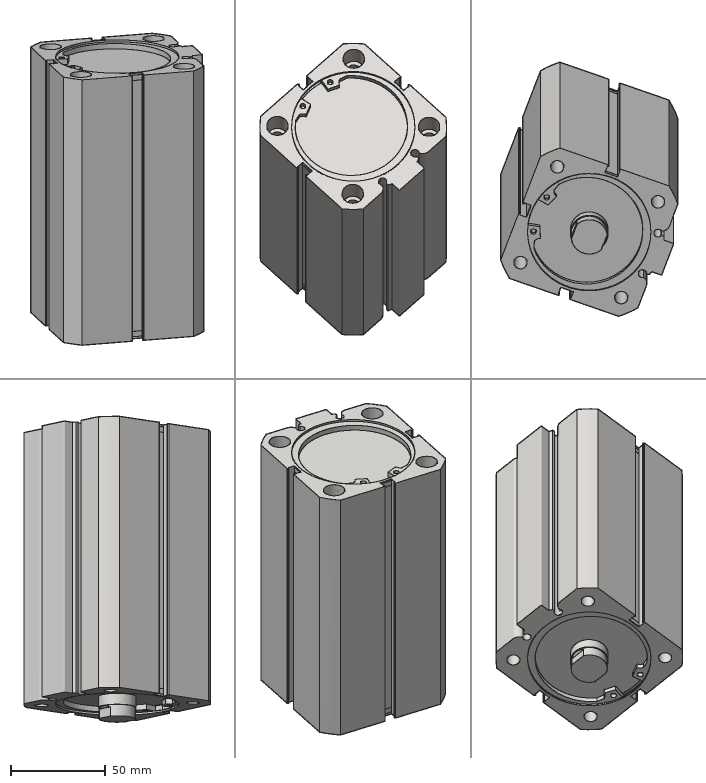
import cadquery as cq
import math


total_length = 154.0
rod_reach = 8.0
housing_length = total_length - rod_reach
housing_width = 77.5
half_width = housing_width / 2
corner_radius = 49.5
total_depth = 83.0
rail_half_width = 9.4
rail_top = total_depth - half_width
rail_fillet = 0.5

bore_radius = 32.6
ring_inset = 1.1
ring_thickness = 3.0
groove_radius = 33.9

hole_pitch = 56.8
hole_diameter = 7.0
counterbore_diameter = 11.2
counterbore_depth = 13.9

groove_wall = 0.23
slot_floor = groove_radius + groove_wall
slot_width = 7.1
slot_mouth_width = 5.7
slot_lip = 1.0
mouth_chamfer = 0.5

sensor_x = 12.0
sensor_y = 34.3
sensor_radius = 2.2
catch_x = 11.4
catch_top = 37.9
catch_bottom = 36.5
catch_root_x = 10.2
catch_root_y = 35.3
mouth_radius = 4.3
mouth_end_x = 17.9

ring_inner_radius = 29.7
ring_inner_shift = 1.46
ear_outer_x = 15.1
ear_outer_y = -25.4
ear_waist_x = 13.5
ear_waist_y = -24.6
ear_peak_x = 12.5
ear_peak_y = -23.0
ear_tip_x = 6.5
ear_tip_y = -25.5
ear_join_x = 19.1
gap_half_width = 9.0
ear_hole_x = 10.2
ear_hole_y = -27.7
ear_hole_diameter = 3.0

cover_thickness = 15.4
cover_inset = ring_inset + ring_thickness
rod_radius = 10.0
neck_radius = 9.5
neck_start = 1.8
flat_start = 3.1
flat_distance = 8.5


def prism(outline, height):
    """Extrude a closed outline upwards from its own plane."""
    return outline.close().extrude(height)


def make_housing_blank():
    square = cq.Workplane("XY").rect(housing_width, housing_width).extrude(housing_length)
    turned = cq.Workplane("XY").circle(corner_radius).extrude(housing_length)
    rail = (
        cq.Workplane("XY")
        .center(0, rail_top / 2)
        .rect(2 * rail_half_width, rail_top)
        .extrude(housing_length)
        .edges("|Z and >Y")
        .fillet(rail_fillet)
    )
    return square.intersect(turned).union(rail)


def make_side_slot(angle):
    """Cutter for the slot in the -Y side, turned about the bore axis."""
    inner_top = half_width - slot_lip
    inner_depth = inner_top - slot_floor
    mouth_half = slot_mouth_width / 2
    inner = (
        cq.Workplane("XY")
        .center(0, -slot_floor - inner_depth / 2)
        .rect(slot_width, inner_depth)
        .extrude(housing_length)
    )
    mouth = prism(
        cq.Workplane("XY")
        .moveTo(-mouth_half, -slot_floor)
        .lineTo(mouth_half, -slot_floor)
        .lineTo(mouth_half, mouth_chamfer - half_width)
        .lineTo(mouth_half + mouth_chamfer, -half_width)
        .lineTo(-mouth_half - mouth_chamfer, -half_width)
        .lineTo(-mouth_half, mouth_chamfer - half_width),
        housing_length,
    )
    return inner.union(mouth).rotate((0, 0, 0), (0, 0, 1), angle)


def make_sensor_slot():
    """Cutter for the sensor slot on the +X side of the rail."""
    arc_side = mouth_radius * math.sqrt(0.5)
    arc_centre_y = half_width - mouth_radius
    mouth = prism(
        cq.Workplane("XY")
        .moveTo(rail_half_width, half_width)
        .lineTo(catch_x, catch_top)
        .lineTo(catch_x, catch_bottom)
        .lineTo(catch_root_x, catch_root_y)
        .lineTo(sensor_x, sensor_y)
        .lineTo(mouth_end_x - mouth_radius, arc_centre_y)
        .threePointArc((mouth_end_x - arc_side, arc_centre_y + arc_side), (mouth_end_x, half_width)),
        housing_length,
    )
    pocket = cq.Workplane("XY").center(sensor_x, sensor_y).circle(sensor_radius).extrude(housing_length)
    return mouth.union(pocket)


def make_housing():
    housing = make_housing_blank()
    for angle in (-90, 0, 90):
        housing = housing.cut(make_side_slot(angle))
    sensor_slot = make_sensor_slot()
    housing = housing.cut(sensor_slot).cut(sensor_slot.mirror("YZ"))

    housing = housing.cut(cq.Workplane("XY").circle(bore_radius).extrude(housing_length))
    for groove_bottom in (ring_inset, housing_length - ring_inset - ring_thickness):
        groove = (
            cq.Workplane("XY")
            .workplane(offset=groove_bottom)
            .circle(groove_radius)
            .extrude(ring_thickness)
        )
        housing = housing.cut(groove)

    return (
        housing.faces(">Z")
        .workplane(origin=(0, 0, housing_length))
        .rect(hole_pitch, hole_pitch, forConstruction=True)
        .vertices()
        .cboreHole(hole_diameter, counterbore_diameter, counterbore_depth)
    )


def make_ring(bottom):
    """Retaining ring with two drilled ears, one on each side of its gap."""
    join_y = -ring_inner_shift - math.sqrt(ring_inner_radius**2 - ear_join_x**2)
    opening = prism(
        cq.Workplane("XY")
        .moveTo(gap_half_width, -half_width)
        .lineTo(ear_tip_x, ear_tip_y)
        .lineTo(ear_peak_x, ear_peak_y)
        .threePointArc((ear_waist_x, ear_waist_y), (ear_outer_x, ear_outer_y))
        .lineTo(ear_join_x, join_y)
        .threePointArc((0, ring_inner_radius - ring_inner_shift), (-ear_join_x, join_y))
        .lineTo(-ear_outer_x, ear_outer_y)
        .threePointArc((-ear_waist_x, ear_waist_y), (-ear_peak_x, ear_peak_y))
        .lineTo(-ear_tip_x, ear_tip_y)
        .lineTo(-gap_half_width, -half_width),
        ring_thickness,
    )
    ear_holes = (
        cq.Workplane("XY")
        .pushPoints([(-ear_hole_x, ear_hole_y), (ear_hole_x, ear_hole_y)])
        .circle(ear_hole_diameter / 2)
        .extrude(ring_thickness)
    )
    ring = cq.Workplane("XY").circle(groove_radius).extrude(ring_thickness)
    return ring.cut(opening).cut(ear_holes).translate((0, 0, bottom))


def make_rear_cover():
    bottom = housing_length - cover_inset - cover_thickness
    return cq.Workplane("XY").workplane(offset=bottom).circle(bore_radius).extrude(cover_thickness)


def make_front_cover():
    return (
        cq.Workplane("XY")
        .workplane(offset=cover_inset)
        .circle(bore_radius)
        .circle(rod_radius)
        .extrude(cover_thickness)
    )


def make_rod():
    """Rod from the rear cover down, with a thinner neck and two wrench flats at its end."""
    rod_top = housing_length - cover_inset - cover_thickness
    shank_length = rod_top + neck_start
    neck_length = rod_reach - neck_start
    shank = cq.Workplane("XY").workplane(offset=-neck_start).circle(rod_radius).extrude(shank_length)
    neck = cq.Workplane("XY").workplane(offset=-rod_reach).circle(neck_radius).extrude(neck_length)
    flat_slope = neck_radius - flat_distance
    flat = (
        cq.Workplane("YZ")
        .moveTo(flat_distance, -rod_reach)
        .lineTo(flat_distance, -flat_start)
        .lineTo(neck_radius, -flat_start + flat_slope)
        .lineTo(neck_radius, -rod_reach)
        .close()
        .extrude(neck_radius, both=True)
    )
    return shank.union(neck.cut(flat).cut(flat.mirror("XZ")))


housing = make_housing()
rear_cover = make_rear_cover()
front_cover = make_front_cover()
rod = make_rod()
ring_bottoms = [housing_length - ring_inset - ring_thickness, ring_inset]
rings = [make_ring(bottom) for bottom in ring_bottoms]

result = cq.Compound.makeCompound(
    [housing.val(), rear_cover.val(), front_cover.val(), rod.val(), *[ring.val() for ring in rings]]
)